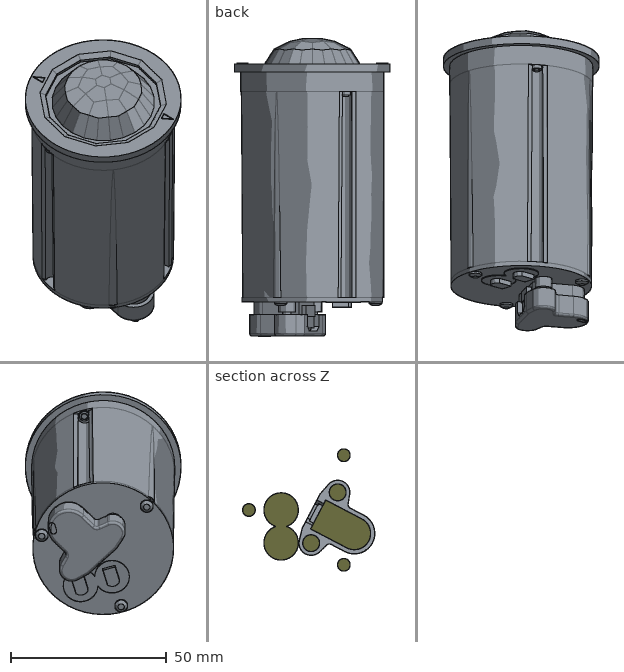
import cadquery as cq
import math

block_bottom, block_top = 0.2, 7.1
peg_bottom = 7.95
plate_bottom, plate_top = 11.2, 12.6
collar_bottom, flange_bottom, flange_top = 78.7, 85.0, 87.6
recess_floor = 85.7
apex = 95.8

flange_radius = 50.0 / 2
collar_radius = 46 / 2
foot_radius = 45.2 / 2
groove_angles = (0, 120, 240)
rib_radius = 2.4

groove_half_top, groove_half_bottom = 3.3, 3.5
channel_radius = 2.3
channel_center = 20.8
channel_mouth_half = 1.7
flare_sag = 0.3
post_center = 21.3
post_radius, post_length = 1.6, 1.15
post_tip_radius, post_tip_length = 2.0 / 2, 0.5

recess_sides = 12
recess_slope = 27.5
recess_flats_top, recess_flats_floor = 39.5, 35.9
pointer_tip, pointer_base, pointer_half_width = 24.2, 20.6, 1.1
pointer_height = 0.3

cap_corner = (2.7, apex)
shoulder_corner = (7.2, 94.8)
brow_corner = (12.3, 92.35)
dome_foot_corner = (16.5, recess_floor)
dome_rings = (
    (6, shoulder_corner, cap_corner),
    (12, brow_corner, shoulder_corner),
    (24, dome_foot_corner, brow_corner),
)

screw_circle = 20.3
screw_angles = (60, 180, 300)
head_radius, head_tip_radius = 4.1 / 2, 2.0 / 2
head_rim, head_height = 0.6, 1.2

socket_centers = ((-10.0, -10.5), (-10.0, 0))
socket_flange_radius, socket_flange_height = 5.6, 0.3
socket_start, socket_end = -11.6, -6.4
socket_width, socket_bulge, socket_height = 4.1, 1.1, 1.8

block_origin = (3.9, -2.5)
block_angle = -27.6
lug_offset, lug_radius = 9.2, 3.9
lug_front_angle, lug_back_angle = 18.4, 166
end_center, end_radius = 10.8, 6.6
back_x = -4.8
inner_corner_fillet = 1.2
bottom_fillet = 0.9
neck_inset = 1.3
neck_back_x = -2.3
peg_radius, pin_radius = 5.5 / 2, 2.8 / 2
pocket_half_width, pocket_bottom, pocket_corner = 3.9, 1.9, 1.3
plug_half_width, plug_bottom, plug_step, plug_top = 3.2, 2.9, 6.5, 10.1
plug_upper_depth, plug_lower_depth = 1.5, 1.15
nub_center, nub_length, nub_width = (15.3, -12.4), 3.9, 2.0


def cylinder(radius, bottom, top, center=(0, 0)):
    """Upright cylinder between two heights."""
    return cq.Workplane("XY", origin=(*center, bottom)).circle(radius).extrude(top - bottom)


def box(x_range, y_range, z_range):
    """Box given by its lower and upper limits along each axis."""
    size = [high - low for low, high in (x_range, y_range, z_range)]
    corner = (x_range[0], y_range[0], z_range[0])
    return cq.Workplane("XY").box(*size, centered=False).translate(corner)


def frustum(sides, bottom, bottom_corner_radius, top, top_corner_radius):
    """Regular pyramid frustum with one corner on the +X side."""
    return (
        cq.Workplane("XY", origin=(0, 0, bottom))
        .polygon(sides, 2 * bottom_corner_radius)
        .workplane(offset=top - bottom)
        .polygon(sides, 2 * top_corner_radius)
        .loft(ruled=True)
    )


def around_axis(solid, angle):
    """Turn a solid about the Z axis."""
    return solid.rotate((0, 0, 0), (0, 0, 1), angle)


def polar(radius, degrees):
    """Point at a radius and a direction given in degrees."""
    angle = math.radians(degrees)
    return (radius * math.cos(angle), radius * math.sin(angle))


def housing():
    """Base plate, tapered barrel, collar and flange turned in one piece."""
    profile = [
        (0, plate_bottom),
        (foot_radius, plate_bottom),
        (foot_radius, plate_top),
        (collar_radius, collar_bottom),
        (collar_radius, flange_bottom),
        (flange_radius, flange_bottom),
        (flange_radius, flange_top),
        (0, flange_top),
    ]
    return cq.Workplane("XZ").polyline(profile).close().revolve(360, (0, 0, 0), (0, 1, 0))


def rib():
    """Upright rib on the -X side that emerges as the barrel tapers inward."""
    center = (rib_radius - collar_radius, 0)
    return cylinder(rib_radius, plate_top, collar_bottom, center)


def flare_outline(half_width, barrel_radius, height):
    """Mouth of the groove at one height: concave flanks from the barrel surface to the channel."""
    mouth_x = channel_center + math.sqrt(channel_radius**2 - channel_mouth_half**2)
    mouth_x -= collar_radius - barrel_radius
    chord_x = barrel_radius - mouth_x
    chord_y = half_width - channel_mouth_half
    chord = math.hypot(chord_x, chord_y)
    sag_x = (barrel_radius + mouth_x) / 2 - flare_sag * chord_y / chord
    sag_y = (half_width + channel_mouth_half) / 2 + flare_sag * chord_x / chord
    return (
        cq.Workplane("XY", origin=(0, 0, height))
        .moveTo(flange_radius, -half_width)
        .lineTo(barrel_radius, -half_width)
        .threePointArc((sag_x, -sag_y), (mouth_x, -channel_mouth_half))
        .lineTo(mouth_x, channel_mouth_half)
        .threePointArc((sag_x, sag_y), (barrel_radius, half_width))
        .lineTo(flange_radius, half_width)
        .close()
        .val()
    )


def groove():
    """Cutter on the +X side: flared mouth, round channel, and a short stepped post left at the top."""
    lower = flare_outline(groove_half_bottom, foot_radius, plate_top)
    upper = flare_outline(groove_half_top, collar_radius, collar_bottom)
    mouth = cq.Workplane(cq.Solid.makeLoft([lower, upper], True))
    channel = cylinder(channel_radius, plate_top, collar_bottom, (channel_center, 0))
    post = cylinder(post_radius, collar_bottom - post_length, collar_bottom, (post_center, 0))
    tip_bottom = collar_bottom - post_length - post_tip_length
    post_tip = cylinder(post_tip_radius, tip_bottom, collar_bottom, (post_center, 0))
    return mouth.union(channel).cut(post).cut(post_tip)


def flange_recess():
    """Twelve-sided recess, sloping then upright walls; its flats face the X and Y axes."""
    half_side = 180 / recess_sides
    corner_per_flats = 0.5 / math.cos(math.radians(half_side))
    top_corner = recess_flats_top * corner_per_flats
    floor_corner = recess_flats_floor * corner_per_flats
    slope_depth = (recess_flats_top - recess_flats_floor) / 2 * math.tan(math.radians(recess_slope))
    slope_foot = flange_top - slope_depth
    sloping = frustum(recess_sides, slope_foot, floor_corner, flange_top, top_corner)
    upright = frustum(recess_sides, recess_floor, floor_corner, slope_foot, floor_corner)
    return around_axis(sloping.union(upright), half_side)


def pointer():
    """Raised triangle on the flange, pointing towards +X."""
    return (
        cq.Workplane("XY", origin=(0, 0, flange_top))
        .polyline([
            (pointer_tip, 0),
            (pointer_base, pointer_half_width),
            (pointer_base, -pointer_half_width),
        ])
        .close()
        .extrude(pointer_height)
    )


def dome_ring(sides, lower_corner, upper_corner):
    """Pyramid through both corners, extended to the full height of the dome."""
    lower_radius, lower_height = lower_corner
    upper_radius, upper_height = upper_corner
    slope = (upper_radius - lower_radius) / (upper_height - lower_height)
    foot = lower_radius + slope * (recess_floor - lower_height)
    tip = upper_radius + slope * (apex - upper_height)
    return frustum(sides, recess_floor, foot, apex, tip)


def dome():
    """Faceted dome: the common volume of three pyramids."""
    solid, *pyramids = [dome_ring(*ring) for ring in dome_rings]
    for pyramid in pyramids:
        solid = solid.intersect(pyramid)
    return solid


def screw_head():
    """Button head under the base plate, on the +X side."""
    rim = plate_bottom - head_rim
    tip = plate_bottom - head_height
    profile = [
        (0, plate_bottom),
        (head_radius, plate_bottom),
        (head_radius, rim),
        (head_tip_radius, tip),
        (0, tip),
    ]
    head = cq.Workplane("XZ").polyline(profile).close().revolve(360, (0, 0, 0), (0, 1, 0))
    return head.translate((screw_circle, 0, 0))


def socket(center):
    """Thin round flange with a bow-ended body hanging from it."""
    flange = cylinder(socket_flange_radius, plate_bottom - socket_flange_height, plate_bottom, center)
    half = socket_width / 2
    y = center[1]
    body = (
        cq.Workplane("XY", origin=(0, 0, plate_bottom - socket_height))
        .moveTo(socket_start, y + half)
        .threePointArc((socket_start - socket_bulge, y), (socket_start, y - half))
        .lineTo(socket_end, y - half)
        .lineTo(socket_end, y + half)
        .close()
        .extrude(socket_height)
    )
    return flange.union(body)


def lug_wedge(side):
    """One lug (side is +1 or -1), bounded by tangent lines running in to the middle of the block."""
    front = polar(lug_radius, lug_front_angle)
    back = polar(lug_radius, lug_back_angle)
    outer = lug_offset + lug_radius
    front_reach = front[0] + (lug_offset + front[1]) * math.tan(math.radians(lug_front_angle))
    back_y = lug_offset + back[1] - (back[0] - back_x) / math.tan(math.radians(180 - lug_back_angle))
    return (
        cq.Workplane("XY", origin=(0, 0, block_bottom))
        .moveTo(back_x, 0)
        .lineTo(back_x, side * back_y)
        .lineTo(back[0], side * (lug_offset + back[1]))
        .threePointArc((0, side * outer), (front[0], side * (lug_offset + front[1])))
        .lineTo(front_reach, 0)
        .close()
        .extrude(block_top - block_bottom)
    )


def bar(radius, start, bottom, top):
    """Straight bar along local x with a round far end."""
    straight = box((start, end_center), (-radius, radius), (bottom, top))
    return straight.union(cylinder(radius, bottom, top, (end_center, 0)))


def terminal_block():
    """Lugged block under the base plate with its neck, pegs, pocket and plug."""
    block = bar(end_radius, 0, block_bottom, block_top).union(lug_wedge(1)).union(lug_wedge(-1)).clean()
    inner_corners = cq.selectors.BoxSelector(
        (lug_radius, -lug_offset, block_bottom), ((lug_radius + end_center) / 2, lug_offset, block_top)
    )
    block = block.edges("|Z").edges(inner_corners).fillet(inner_corner_fillet)
    block = block.faces("<Z").edges().fillet(bottom_fillet)

    pocket = box(
        (2 * back_x, neck_back_x), (-pocket_half_width, pocket_half_width), (pocket_bottom, block_top)
    ).edges("|X and <Z").chamfer(pocket_corner)
    block = block.cut(pocket)

    block = block.union(bar(end_radius - neck_inset, neck_back_x, block_top, plate_bottom))
    plug_y = (-plug_half_width, plug_half_width)
    block = block.union(box((neck_back_x - plug_upper_depth, neck_back_x), plug_y, (plug_step, plug_top)))
    block = block.union(box((neck_back_x - plug_lower_depth, neck_back_x), plug_y, (plug_bottom, plug_step)))

    for y in (-lug_offset, lug_offset):
        block = block.union(cylinder(peg_radius, peg_bottom, plate_bottom, (0, y)))
        block = block.union(cylinder(pin_radius, block_top, peg_bottom, (0, y)))
    return around_axis(block, block_angle).translate((*block_origin, 0))


def nub():
    """Low pad on the underside of the terminal block."""
    return cq.Workplane("XY", origin=(*nub_center, 0)).slot2D(nub_length, nub_width).extrude(block_bottom)


result = housing()
for angle in groove_angles:
    result = result.union(around_axis(rib(), angle))
for angle in groove_angles:
    result = result.cut(around_axis(groove(), angle))

result = result.cut(flange_recess()).union(dome())
for angle in (0, 180):
    result = result.union(around_axis(pointer(), angle))

for angle in screw_angles:
    result = result.union(around_axis(screw_head(), angle))
for center in socket_centers:
    result = result.union(socket(center))
result = result.union(terminal_block()).union(nub())